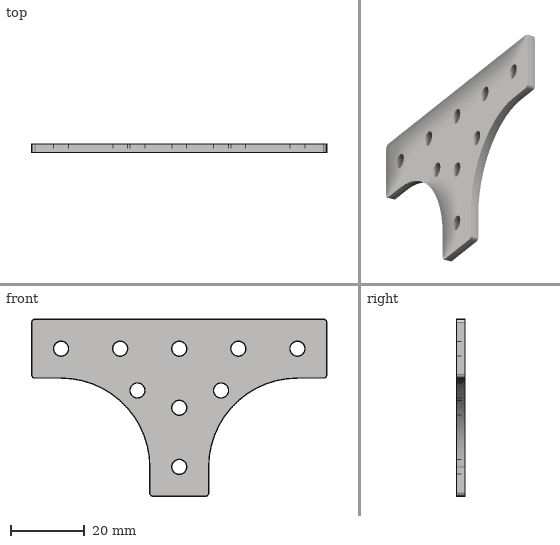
import cadquery as cq
import math

pitch = 16.0
hole_diameter = 4.0
thickness = 2.3
corner_radius = 1.0
web_radius = 1.5 * pitch

length = 5 * pitch
height = 3 * pitch
half_length = length / 2
half_stem = pitch / 2
bar_bottom = -pitch
row_z = -pitch / 2
arc_end_x = half_stem + web_radius
arc_end_z = bar_bottom - web_radius
arc_mid_offset = web_radius * (1 - math.sqrt(0.5))
arc_mid_x = half_stem + arc_mid_offset
arc_mid_z = bar_bottom - arc_mid_offset


def make_plate():
    """T outline with concave webs, extruded along Y with rounded outer corners."""
    outline = (
        cq.Workplane("XZ")
        .moveTo(-half_length, 0)
        .lineTo(half_length, 0)
        .lineTo(half_length, bar_bottom)
        .lineTo(arc_end_x, bar_bottom)
        .threePointArc((arc_mid_x, arc_mid_z), (half_stem, arc_end_z))
        .lineTo(half_stem, -height)
        .lineTo(-half_stem, -height)
        .lineTo(-half_stem, arc_end_z)
        .threePointArc((-arc_mid_x, arc_mid_z), (-arc_end_x, bar_bottom))
        .lineTo(-half_length, bar_bottom)
        .close()
    )
    plate = outline.extrude(thickness)
    bar_ends = plate.faces("<X or >X").edges("|Y")
    plate = bar_ends.fillet(corner_radius)
    return plate.faces("<Z").edges("|Y").fillet(corner_radius)


def hole_centres():
    """Crossbar row, stem column and two diagonal holes one pitch from the centre hole."""
    row = [(i * pitch, row_z) for i in range(-2, 3)]
    column = [(0, row_z - i * pitch) for i in (1, 2)]
    diagonal = pitch * math.sqrt(0.5)
    diagonals = [(side * diagonal, row_z - diagonal) for side in (-1, 1)]
    return row + column + diagonals


holes = (
    cq.Workplane("XZ")
    .pushPoints(hole_centres())
    .circle(hole_diameter / 2)
    .extrude(thickness)
)

result = make_plate().cut(holes)